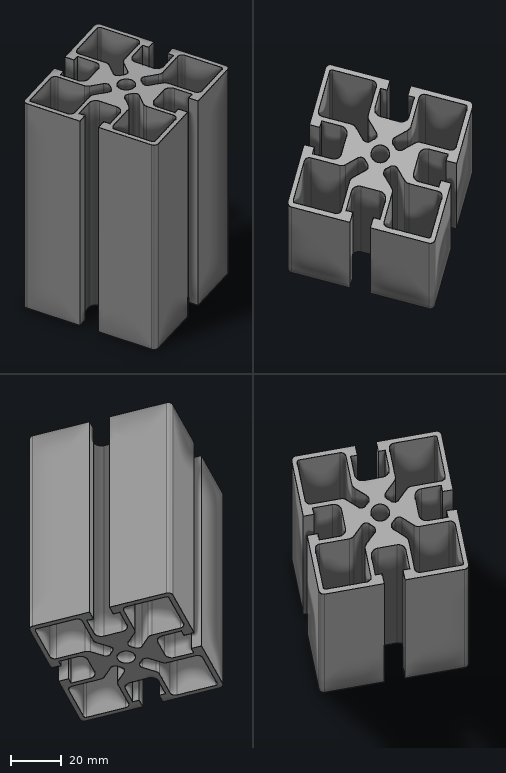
import cadquery as cq
import math

side = 60.0
length = 100.0
outer_radius = 2.0
bore_diameter = 7.2

slot_opening = 8.3
lip_thickness = 4.3
slot_inner_width = 13.8
slot_floor = 14.7
slot_floor_radius = 3.1

outer_wall = 2.0
slot_wall = 1.8
chamber_outer_radius = 1.0
chamber_side_radius = 2.1

channel_width = 5.9
channel_tip = 6.4
channel_tip_radius = 2.0
channel_mouth_radius = 2.8

half_side = side / 2
chamber_inner = slot_inner_width / 2 + slot_wall
chamber_outer = half_side - outer_wall


def block(x_min, x_max, y_min, y_max):
    """Full-length rectangular block between the given limits."""
    return (
        cq.Workplane("XY")
        .center((x_min + x_max) / 2, (y_min + y_max) / 2)
        .rect(x_max - x_min, y_max - y_min)
        .extrude(length)
    )


def t_slot():
    """Cutter for the T-slot on the +X side."""
    lip_inner = half_side - lip_thickness
    pocket = block(slot_floor, lip_inner, -slot_inner_width / 2, slot_inner_width / 2)
    pocket = pocket.edges("|Z and <X").fillet(slot_floor_radius)
    opening = block(lip_inner, half_side, -slot_opening / 2, slot_opening / 2)
    return pocket.union(opening)


def corner_chamber():
    """Cutter for the +X +Y corner chamber with its diagonal channel."""
    chamber = block(chamber_inner, chamber_outer, chamber_inner, chamber_outer)
    chamber = chamber.edges("|Z and >X").edges(">Y").fillet(chamber_outer_radius)
    chamber = chamber.edges("|Z").edges(">X").edges("<Y").fillet(chamber_side_radius)
    chamber = chamber.edges("|Z").edges("<X").edges(">Y").fillet(chamber_side_radius)

    channel_end = chamber_inner * math.sqrt(2) + channel_width
    channel = block(channel_tip, channel_end, -channel_width / 2, channel_width / 2)
    channel = channel.edges("|Z and <X").fillet(channel_tip_radius)
    channel = channel.rotate((0, 0, 0), (0, 0, 1), 45)
    cutter = chamber.union(channel)

    mouth = chamber_inner + channel_width / math.sqrt(2)
    for x, y in ((chamber_inner, mouth), (mouth, chamber_inner)):
        corner = cq.selectors.NearestToPointSelector((x, y, length / 2))
        cutter = cutter.edges("|Z").edges(corner).fillet(channel_mouth_radius)
    return cutter


result = block(-half_side, half_side, -half_side, half_side)
result = result.edges("|Z").fillet(outer_radius)

slot_cutter = t_slot()
chamber_cutter = corner_chamber()
for angle in (0, 90, 180, 270):
    for cutter in (slot_cutter, chamber_cutter):
        result = result.cut(cutter.rotate((0, 0, 0), (0, 0, 1), angle))

result = result.cut(cq.Workplane("XY").circle(bore_diameter / 2).extrude(length))